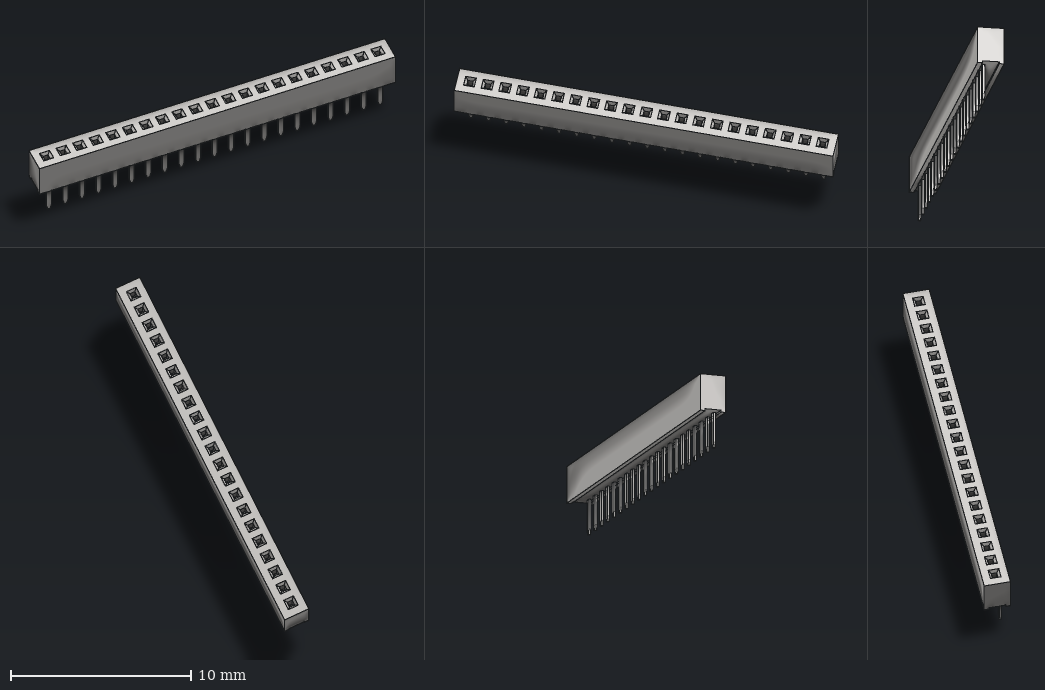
import cadquery as cq

CONTACTS = 21
LENGTH = 21.5
END_MARGIN_PITCHES = 0.75
PITCH = LENGTH / (CONTACTS - 1 + 2 * END_MARGIN_PITCHES)

WIDTH = 1.5
TOTAL_HEIGHT = 4.0
HOUSING_HEIGHT = 2.1
PIN_DROP = TOTAL_HEIGHT - HOUSING_HEIGHT

FOOT_WIDTH = 0.28
CHANNEL_DEPTH = 0.1
CHANNEL_WIDTH = WIDTH - 2 * FOOT_WIDTH

MOUTH_SIDE = 0.6
WELL_SIDE = 0.3
LEAD_IN_DEPTH = 0.15
WELL_DEPTH = 0.85
SLOT_WIDTH = 0.09
SLOT_LENGTH = 0.25
SLOT_DEPTH = 0.1

PIN_OFFSET = 0.3
PIN_THICKNESS = 0.13
PIN_WIDTH = 0.3
TIP_WIDTH = PIN_WIDTH / 2
TIP_HEIGHT = 0.3


def contact_positions(x):
    """One point per contact, spaced evenly along Y and centred on the housing."""
    first_y = -PITCH * (CONTACTS - 1) / 2
    return [(x, first_y + i * PITCH) for i in range(CONTACTS)]


def make_housing():
    body = cq.Workplane("XY").box(WIDTH, LENGTH, HOUSING_HEIGHT, centered=(True, True, False))
    channel = cq.Workplane("XY").box(CHANNEL_WIDTH, LENGTH, CHANNEL_DEPTH, centered=(True, True, False))
    return body.cut(channel)


def make_socket_cutter():
    """Space inside one socket, with its mouth at Z = 0."""
    lead_in = (
        cq.Workplane("XY")
        .rect(MOUTH_SIDE, MOUTH_SIDE)
        .workplane(offset=-LEAD_IN_DEPTH)
        .rect(WELL_SIDE, WELL_SIDE)
        .loft(ruled=True)
    )
    well = cq.Workplane("XY", origin=(0, 0, -LEAD_IN_DEPTH)).rect(WELL_SIDE, WELL_SIDE)
    slot = cq.Workplane("XY", origin=(0, 0, -WELL_DEPTH)).rect(SLOT_WIDTH, SLOT_LENGTH)
    return (
        lead_in.union(well.extrude(LEAD_IN_DEPTH - WELL_DEPTH))
        .union(slot.extrude(-SLOT_DEPTH))
        .val()
    )


def make_pin():
    """One pin hanging from the channel roof, with its thickness centred on X = 0."""
    half = PIN_WIDTH / 2
    half_tip = TIP_WIDTH / 2
    bevel_start = TIP_HEIGHT - PIN_DROP
    return (
        cq.Workplane("YZ", origin=(-PIN_THICKNESS / 2, 0, 0))
        .polyline([
            (-half, CHANNEL_DEPTH),
            (-half, bevel_start),
            (-half_tip, -PIN_DROP),
            (half_tip, -PIN_DROP),
            (half, bevel_start),
            (half, CHANNEL_DEPTH),
        ])
        .close()
        .extrude(PIN_THICKNESS)
        .val()
    )


def copies_at(shape, points, z):
    """Compound holding a copy of the shape at each point, at height z."""
    return cq.Compound.makeCompound([shape.translate(cq.Vector(x, y, z)) for x, y in points])


sockets = copies_at(make_socket_cutter(), contact_positions(0), HOUSING_HEIGHT)
pins = copies_at(make_pin(), contact_positions(PIN_OFFSET), 0)

result = make_housing().cut(sockets).union(pins).solids()